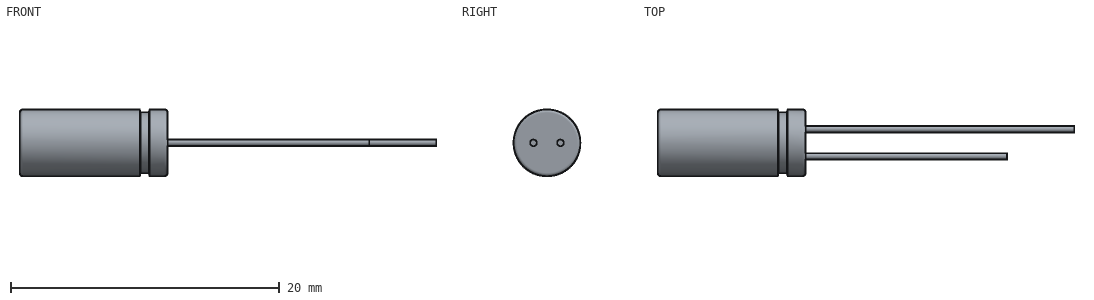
import cadquery as cq

overall_length = 31.0
can_diameter = 5.0
can_length = 11.0
rim_radius = 0.25

groove_start = 8.93
groove_width = 0.75
groove_depth = 0.22
groove_wall_run = 0.05

lead_diameter = 0.5
lead_pitch = 2.0
long_lead_length = overall_length - can_length
short_lead_length = 15.0


def cylinder_along_x(start, length, diameter, y=0.0):
    return cq.Workplane("YZ", origin=(start, y, 0)).circle(diameter / 2).extrude(length)


def crimp_groove():
    """Ring with a trapezoid section, wider at the can surface than at its floor."""
    can_radius = can_diameter / 2
    floor_radius = can_radius - groove_depth
    groove_end = groove_start + groove_width
    return (
        cq.Workplane("XY")
        .moveTo(groove_start, can_radius)
        .lineTo(groove_start + groove_wall_run, floor_radius)
        .lineTo(groove_end - groove_wall_run, floor_radius)
        .lineTo(groove_end, can_radius)
        .close()
        .revolve(360, (0, 0, 0), (1, 0, 0))
    )


can = cylinder_along_x(0, can_length, can_diameter).edges("%CIRCLE").fillet(rim_radius)
can = can.cut(crimp_groove())

long_lead = cylinder_along_x(can_length, long_lead_length, lead_diameter, lead_pitch / 2)
short_lead = cylinder_along_x(can_length, short_lead_length, lead_diameter, -lead_pitch / 2)

result = can.union(long_lead).union(short_lead)